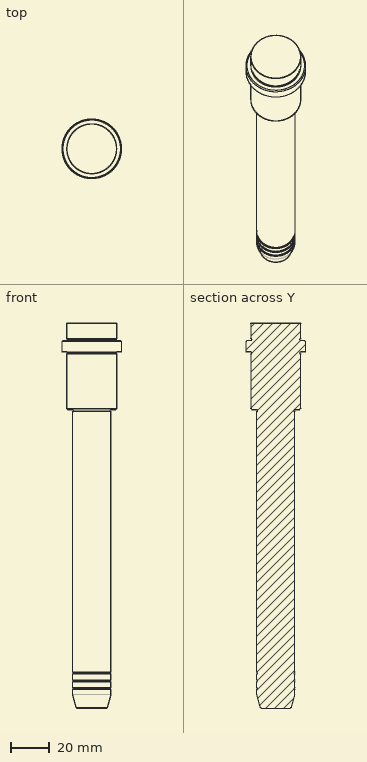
import cadquery as cq
import math

total_length = 200.0
shaft_radius = 10.0
body_radius = 13.0
collar_diameter = 31.0
collar_radius = collar_diameter / 2

body_bottom = 155.0
collar_bottom = 185.0
collar_top = 191.0

body_chamfer = 0.5
collar_chamfer = 0.5
top_chamfer = 0.2
collar_relief_width = 1.0
neck_width = 1.0
neck_depth = 0.5

tip_length = 7.2
tip_angle = 15.0
tip_chamfer = 0.5
tip_radius = shaft_radius - tip_length * math.tan(math.radians(tip_angle))

groove_count = 3
groove_pitch = 4.0
first_groove_height = 10.5
groove_half_width = 0.5


def cylinder(radius, bottom, top):
    """Solid cylinder about Z between two heights."""
    return cq.Workplane("XY").workplane(offset=bottom).circle(radius).extrude(top - bottom)


def ring_groove(radius, bottom, width, depth):
    """Ring-shaped cutter that sinks a groove into a cylinder of the given radius."""
    outer = cylinder(radius, bottom, bottom + width)
    return outer.cut(cylinder(radius - depth, bottom, bottom + width))


def vee_groove(radius, center_height, half_width):
    """Ring cutter that sinks a 90 degree V groove into a cylinder."""
    section = cq.Workplane("XZ").polyline(
        [
            (radius, center_height - half_width),
            (radius, center_height + half_width),
            (radius - half_width, center_height),
        ]
    )
    return section.close().revolve(360, (0, 0), (0, 1))


tip = (
    cq.Workplane("XY")
    .circle(tip_radius)
    .workplane(offset=tip_length)
    .circle(shaft_radius)
    .loft(ruled=True)
    .faces("<Z")
    .chamfer(tip_chamfer)
)
shaft = cylinder(shaft_radius, tip_length, body_bottom)
for index in range(groove_count):
    groove_center = first_groove_height + index * groove_pitch
    groove = vee_groove(shaft_radius, groove_center, groove_half_width)
    shaft = shaft.cut(groove)
shaft = shaft.cut(ring_groove(shaft_radius, body_bottom - neck_width, neck_width, neck_depth))

body = cylinder(body_radius, body_bottom, total_length)
body = body.faces("<Z").chamfer(body_chamfer).faces(">Z").chamfer(top_chamfer)
for relief_center in (collar_bottom - collar_relief_width / 2, collar_top + collar_relief_width / 2):
    body = body.cut(vee_groove(body_radius, relief_center, collar_relief_width / 2))

collar = cylinder(collar_radius, collar_bottom, collar_top).faces(">Z").chamfer(collar_chamfer)

result = tip.union(shaft).union(body).union(collar)